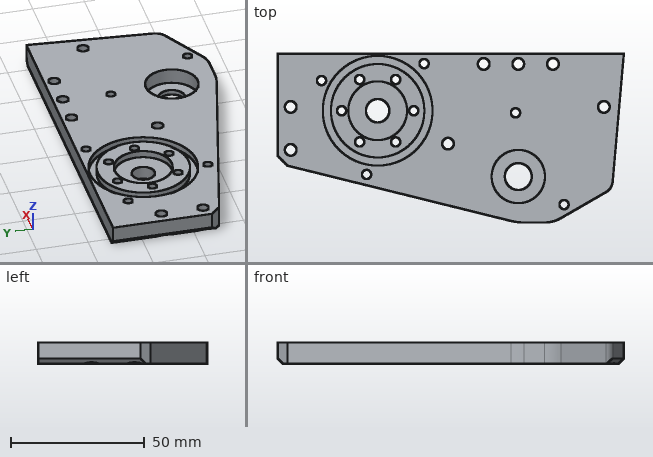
import cadquery as cq

LENGTH = 129.5
WIDTH = 63.2
THICKNESS = 8.0

LEFT_CORNER_CUT = (3.8, -42.0)
LEFT_SIDE_END = (0, -38.2)
FLAT_LEFT_END = (89.6, -WIDTH)
FLAT_RIGHT_END = (103.1, -WIDTH)
RIGHT_SIDE_END = (125.1, -50.5)
ROUNDED_CORNERS = [(FLAT_LEFT_END, 20.0), (FLAT_RIGHT_END, 12.0), (RIGHT_SIDE_END, 5.2)]

BEVEL = THICKNESS / 4
BEVEL_OVERRUN = 2 * BEVEL

SEAT_CENTER = (37.4, -21.4)
GROOVE_OUTER_DIAMETER = 41.0
GROOVE_INNER_DIAMETER = 35.0
GROOVE_DEPTH = 2.7
RECESS_DIAMETER = 22.0
RECESS_DEPTH = 2.7
SEAT_BORE_DIAMETER = 8.7
SEAT_HOLE_COUNT = 6
SEAT_HOLE_CIRCLE_RADIUS = 13.5

BEARING_CENTER = (90.0, -46.0)
BEARING_DIAMETER = 20.0
BEARING_DEPTH = 6.0
BEARING_BORE_DIAMETER = 10.0

SMALL_HOLE_DIAMETER = 3.4
SMALL_HOLES = [(16.5, -10.1), (54.8, -3.8), (89.0, -22.1), (33.3, -45.2), (107.1, -56.5)]

LARGE_HOLE_DIAMETER = 4.3
SIDE_HOLE_Y = -20.0
SIDE_HOLE_PITCH = 16.0
LEFT_HOLE_X = 4.9
RIGHT_HOLE_X = 122.0
SIDE_HOLES = [
    (LEFT_HOLE_X, SIDE_HOLE_Y),
    (LEFT_HOLE_X, SIDE_HOLE_Y - SIDE_HOLE_PITCH),
    (RIGHT_HOLE_X, SIDE_HOLE_Y),
]
BACK_ROW_Y = -3.9
BACK_ROW_PITCH = 13.0
BACK_ROW = [(BEARING_CENTER[0] + i * BACK_ROW_PITCH, BACK_ROW_Y) for i in (-1, 0, 1)]
MIDDLE_HOLE = (63.7, -33.7)
LARGE_HOLES = [*SIDE_HOLES, *BACK_ROW, MIDDLE_HOLE]

COUNTERSINK_DIAMETER = 8.3
COUNTERSINK_DEPTH = (COUNTERSINK_DIAMETER - LARGE_HOLE_DIAMETER) / 2


def plate():
    """Flat plate with the three front corners rounded."""
    corners = [
        (0, 0),
        LEFT_SIDE_END,
        LEFT_CORNER_CUT,
        FLAT_LEFT_END,
        FLAT_RIGHT_END,
        RIGHT_SIDE_END,
        (LENGTH, 0),
    ]
    body = cq.Workplane("XY").polyline(corners).close().extrude(THICKNESS)
    for (x, y), radius in ROUNDED_CORNERS:
        corner_edge = cq.NearestToPointSelector((x, y, THICKNESS / 2))
        body = body.edges("|Z").edges(corner_edge).fillet(radius)
    return body


def side_bevel(back_corner, front_corner, inward):
    """Wedge under a straight side, run past both ends; inward is +1 or -1 along X."""
    run = cq.Vector(front_corner[0] - back_corner[0], front_corner[1] - back_corner[1])
    side_plane = cq.Plane(origin=back_corner, xDir=(-run.y, run.x, 0), normal=run.toTuple())
    profile = [
        (-inward * BEVEL, 2 * BEVEL),
        (inward * 2 * BEVEL, -BEVEL),
        (-inward * BEVEL, -BEVEL),
    ]
    wedge = cq.Workplane(side_plane).workplane(offset=-BEVEL_OVERRUN).polyline(profile).close()
    return wedge.extrude(run.Length + 2 * BEVEL_OVERRUN)


def disc(center, diameter, bottom, height):
    """Upright cylinder standing on the given level."""
    return cq.Workplane("XY").workplane(offset=bottom).center(*center).circle(diameter / 2).extrude(height)


def through_holes(centers, diameter):
    """Plain round holes through the full thickness."""
    return cq.Workplane("XY").pushPoints(centers).circle(diameter / 2).extrude(THICKNESS)


def countersink(center):
    """Cone opening at the underside and narrowing to the hole."""
    cone = cq.Solid.makeCone(COUNTERSINK_DIAMETER / 2, LARGE_HOLE_DIAMETER / 2, COUNTERSINK_DEPTH)
    return cq.Workplane(cone).translate((*center, 0))


def seat_cuts():
    """Ring groove, central recess, bore and bolt circle of the round seat."""
    groove_floor = THICKNESS - GROOVE_DEPTH
    groove = disc(SEAT_CENTER, GROOVE_OUTER_DIAMETER, groove_floor, GROOVE_DEPTH).cut(
        disc(SEAT_CENTER, GROOVE_INNER_DIAMETER, groove_floor, GROOVE_DEPTH)
    )
    recess = disc(SEAT_CENTER, RECESS_DIAMETER, THICKNESS - RECESS_DEPTH, RECESS_DEPTH)
    bore = disc(SEAT_CENTER, SEAT_BORE_DIAMETER, 0, THICKNESS)
    bolt_holes = (
        cq.Workplane("XY")
        .center(*SEAT_CENTER)
        .polarArray(SEAT_HOLE_CIRCLE_RADIUS, 0, 360, SEAT_HOLE_COUNT)
        .circle(SMALL_HOLE_DIAMETER / 2)
        .extrude(THICKNESS)
    )
    return [groove, recess, bore, bolt_holes]


def bearing_cuts():
    """Bearing pocket with a smaller bore through its floor."""
    pocket = disc(BEARING_CENTER, BEARING_DIAMETER, THICKNESS - BEARING_DEPTH, BEARING_DEPTH)
    bore = disc(BEARING_CENTER, BEARING_BORE_DIAMETER, 0, THICKNESS)
    return [pocket, bore]


cuts = [
    side_bevel((0, 0), LEFT_SIDE_END, 1),
    side_bevel((LENGTH, 0), RIGHT_SIDE_END, -1),
    *seat_cuts(),
    *bearing_cuts(),
    through_holes(SMALL_HOLES, SMALL_HOLE_DIAMETER),
    through_holes(LARGE_HOLES, LARGE_HOLE_DIAMETER),
    *[countersink(center) for center in SIDE_HOLES],
]

result = plate()
for cut in cuts:
    result = result.cut(cut)